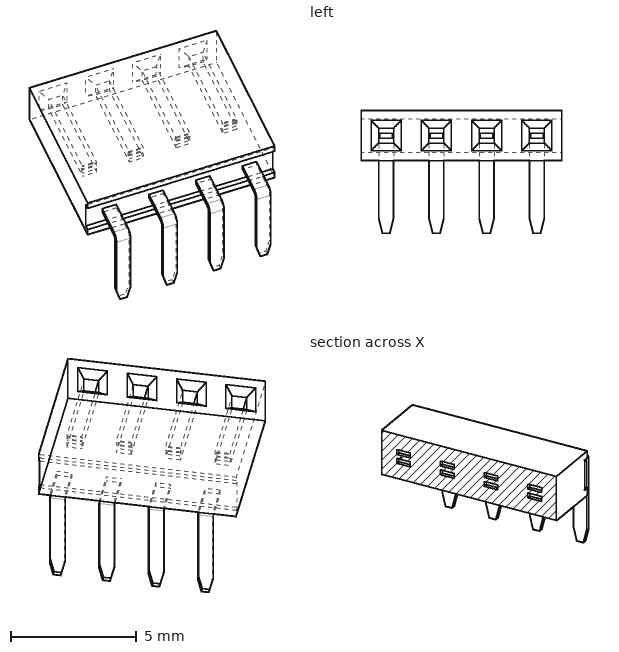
import cadquery as cq

pitch = 2.0
contact_count = 4
housing_length = 6.35
housing_width = pitch * contact_count
housing_height = 2.0
axis_z = housing_height / 2

channel_depth = 0.2
lip_thickness = 0.33
rear_wall_x = housing_length - channel_depth

mouth_size = 1.2
bore_size = 0.6
lead_in_depth = (mouth_size - bore_size) / 2
bore_depth = 4.0

strip_width = bore_size
strip_thickness = 0.2
leg_outer_x = 7.72
leg_bottom_z = -2.9
bend_inner_radius = 0.1
bend_outer_radius = bend_inner_radius + strip_thickness
leg_taper_length = 0.6
leg_tip_width = strip_width / 2

nose_length = 0.2
nose_chamfer = 0.05


def make_housing():
    block = cq.Workplane("XY").box(
        housing_length, housing_width, housing_height, centered=(False, True, False)
    )
    channel = (
        cq.Workplane("XY")
        .box(channel_depth, housing_width, housing_height - 2 * lip_thickness, centered=(False, True, True))
        .translate((rear_wall_x, 0, axis_z))
    )
    return block.cut(channel)


def make_socket(y):
    """Cavity of one socket, centred on the given Y."""
    mouth = cq.Workplane("YZ", origin=(0, y, axis_z))
    lead_in = (
        mouth.rect(mouth_size, mouth_size)
        .workplane(offset=lead_in_depth)
        .rect(bore_size, bore_size)
        .loft(ruled=True)
    )
    bore = mouth.rect(bore_size, bore_size).extrude(bore_depth)
    return lead_in.union(bore)


def make_contact(y):
    """Bent strip from the nose in the bore to the tip of the leg."""
    nose_x = bore_depth - nose_length
    top_z = axis_z + strip_thickness / 2
    bottom_z = top_z - strip_thickness
    leg_inner_x = leg_outer_x - strip_thickness
    bend_x = leg_outer_x - bend_outer_radius
    bend_z = top_z - bend_outer_radius

    strip = (
        cq.Workplane("XZ", origin=(0, y, 0))
        .moveTo(nose_x, top_z)
        .lineTo(bend_x, top_z)
        .radiusArc((leg_outer_x, bend_z), bend_outer_radius)
        .lineTo(leg_outer_x, leg_bottom_z)
        .lineTo(leg_inner_x, leg_bottom_z)
        .lineTo(leg_inner_x, bend_z)
        .radiusArc((bend_x, bottom_z), -bend_inner_radius)
        .lineTo(nose_x, bottom_z)
        .close()
        .extrude(strip_width / 2, both=True)
    )
    strip = strip.faces("<X").edges("|Z").chamfer(nose_chamfer)
    leg_tip_inset = (strip_width - leg_tip_width) / 2
    return strip.faces("<Z").edges("|X").chamfer(leg_taper_length, leg_tip_inset)


result = make_housing()
for index in range(contact_count):
    contact_y = (index - (contact_count - 1) / 2) * pitch
    result = result.cut(make_socket(contact_y)).union(make_contact(contact_y))